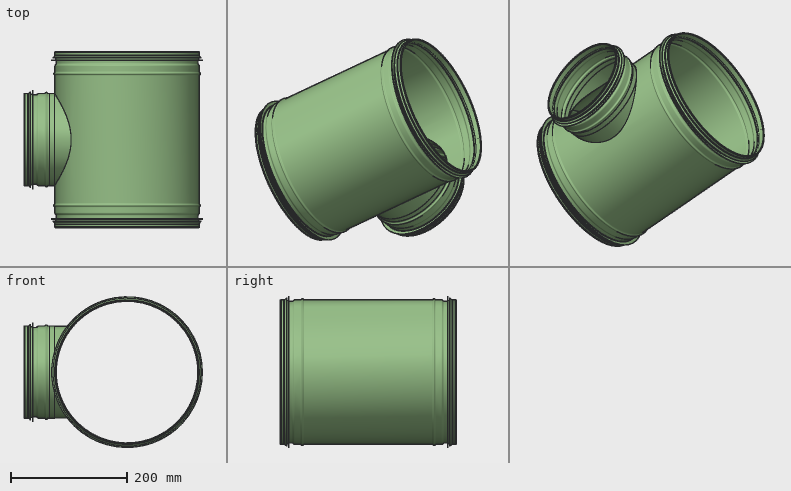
import cadquery as cq

sheet = 0.5
main_radius = 248.9 / 2
main_length = 302.99
branch_radius = 159.0 / 2
branch_end = 177.0
collar_overlap = 9.0

groove_depth = 2.4
hem_end = 6.0
step_start = 20.3
step_end = 25.6
bead_centre = 38.3
bead_width = 7.2
bead_height = 1.9
bead_blend = 0.6

seal_clearance = 0.6
seal_base = 0.7
seal_start = 2.0
small_lip_root = 7.8
small_lip_tip = 10.6
small_lip_back = 11.5
small_lip_rise = 2.7
large_lip_front = 14.3
large_lip_rise = 5.2
seal_end = 15.5

main_bore = main_radius - sheet
collar_radius = branch_radius - sheet
collar_bore = collar_radius - sheet
branch_length = branch_end - main_radius

main_planes = [
    cq.Plane((0, side * main_length / 2, 0), (1, 0, 0), (0, 0, -side))
    for side in (-1, 1)
]
branch_plane = cq.Plane((-branch_end, 0, 0), (0, 1, 0), (0, 0, -1))


def step(path, start, end):
    """Smooth S-step made of two equal tangent arcs."""
    middle = ((start[0] + end[0]) / 2, (start[1] + end[1]) / 2)
    return path.tangentArcPoint(middle, relative=False).tangentArcPoint(end, relative=False)


def bead(path, radius, direction):
    """Rounded bead of three tangent arcs, drawn away from or towards the rim."""
    flank = direction * bead_width / 2 * (1 - bead_blend)
    blend_rise = bead_height * bead_blend
    for rise, place in ((blend_rise, -flank), (blend_rise, flank), (0, direction * bead_width / 2)):
        path = path.tangentArcPoint((radius + rise, bead_centre + place), relative=False)
    return path


def socket(plane, radius, length):
    """Thin sheet socket with a hemmed rim, a seal groove and a stiffening bead."""
    inside = radius - sheet
    floor = radius - groove_depth
    floor_inside = floor - sheet
    fold_outer = (radius - floor_inside) / 2
    fold_inner = fold_outer - sheet
    fold_middle = radius - fold_outer
    bead_start = bead_centre - bead_width / 2
    bead_end = bead_centre + bead_width / 2

    path = cq.Workplane(plane).moveTo(floor, fold_outer).lineTo(floor, step_start)
    path = step(path, (floor, step_start), (radius, step_end)).lineTo(radius, bead_start)
    path = bead(path, radius, 1).lineTo(radius, length)
    path = path.lineTo(inside, length).lineTo(inside, bead_end)
    path = bead(path, inside, -1).lineTo(inside, step_end)
    path = step(path, (inside, step_end), (floor_inside, step_start)).lineTo(floor_inside, fold_outer)
    path = path.threePointArc((fold_middle, 0), (radius, fold_outer))
    path = path.lineTo(radius, hem_end).lineTo(inside, hem_end).lineTo(inside, fold_outer)
    path = path.threePointArc((fold_middle, fold_outer - fold_inner), (floor, fold_outer))
    return path.close().revolve(360, (0, 0), (0, 1))


def seal(plane, radius):
    """Rubber ring clamped under the hem, with a small and a large sealing lip."""
    bore = radius - groove_depth + seal_clearance
    band = bore + seal_base
    hem_inside = radius - sheet
    small_lip = radius + small_lip_rise
    large_lip = radius + large_lip_rise
    outline = [
        (bore, seal_start),
        (hem_inside, seal_start),
        (hem_inside, hem_end),
        (radius, hem_end),
        (radius, small_lip_root),
        (small_lip, small_lip_tip),
        (small_lip, small_lip_back),
        (band, small_lip_back),
        (band, large_lip_front),
        (large_lip, large_lip_front),
        (large_lip, seal_end),
        (bore, seal_end),
    ]
    return cq.Workplane(plane).polyline(outline).close().revolve(360, (0, 0), (0, 1))


side_plane = cq.Workplane("YZ")
collar_length = main_radius + collar_overlap
collar = side_plane.circle(collar_radius).extrude(-collar_length)
collar_hole = side_plane.circle(collar_bore).extrude(-collar_length)
pipe_bore = cq.Workplane("XZ").circle(main_bore).extrude(main_length / 2, both=True)

main_pipe = socket(main_planes[0], main_radius, main_length / 2)
main_pipe = main_pipe.union(socket(main_planes[1], main_radius, main_length / 2))
main_pipe = main_pipe.union(collar.cut(pipe_bore)).cut(collar_hole)

branch = socket(branch_plane, branch_radius, branch_length)

seals = [seal(plane, main_radius) for plane in main_planes]
seals.append(seal(branch_plane, branch_radius))

result = cq.Compound.makeCompound([main_pipe.val(), branch.val(), *[ring.val() for ring in seals]])